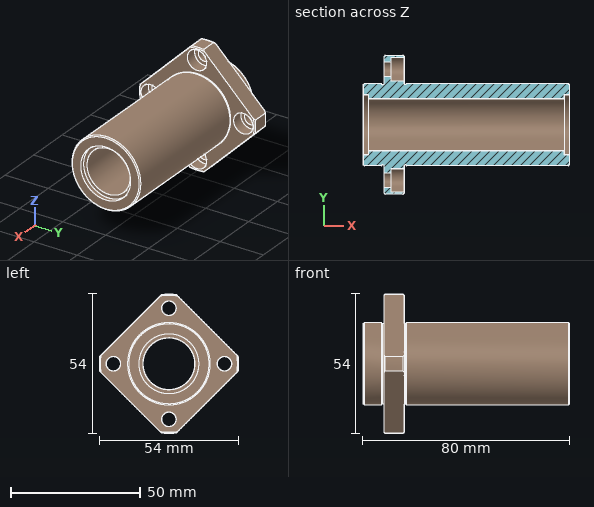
import cadquery as cq

length = 80
body_diameter = 32
bore_diameter = 20
recess_diameter = 23.2
recess_depth = 2.0
edge_chamfer = 0.5

flange_start = 8
flange_thickness = 8
flange_end = flange_start + flange_thickness
flange_diameter = 54.0
flange_side = 42.0

relief_depth = 0.3
front_relief_width = 0.5
rear_relief_width = 0.3

hole_count = 4
hole_circle_diameter = 43.0
hole_diameter = 5.5
counterbore_diameter = 9.0
counterbore_depth = 5.1


def cylinder(diameter, start, end):
    return cq.Workplane("YZ", origin=(start, 0, 0)).circle(diameter / 2).extrude(end - start)


def mounting_holes(diameter, start, end):
    return (
        cq.Workplane("YZ", origin=(start, 0, 0))
        .polarArray(hole_circle_diameter / 2, 0, 360, hole_count)
        .circle(diameter / 2)
        .extrude(end - start)
    )


def make_body():
    relief_diameter = body_diameter - 2 * relief_depth
    front = cylinder(body_diameter, 0, flange_start - front_relief_width)
    rear = cylinder(body_diameter, flange_end + rear_relief_width, length)
    neck = cylinder(relief_diameter, flange_start - front_relief_width, flange_end + rear_relief_width)
    front = front.edges().chamfer(edge_chamfer)
    rear = rear.edges().chamfer(edge_chamfer)
    return front.union(neck).union(rear)


def make_flange():
    disc = cylinder(flange_diameter, flange_start, flange_end).edges().chamfer(edge_chamfer)
    square = (
        cq.Workplane("YZ", origin=(flange_start, 0, 0))
        .transformed(rotate=(0, 0, 45))
        .rect(flange_side, flange_side)
        .extrude(flange_thickness)
    )
    flange = disc.intersect(square)
    flange = flange.cut(mounting_holes(hole_diameter, flange_start, flange_end))
    return flange.cut(mounting_holes(counterbore_diameter, flange_end - counterbore_depth, flange_end))


result = make_flange().union(make_body())
result = result.cut(cylinder(bore_diameter, 0, length))
result = result.cut(cylinder(recess_diameter, 0, recess_depth))
result = result.cut(cylinder(recess_diameter, length - recess_depth, length))